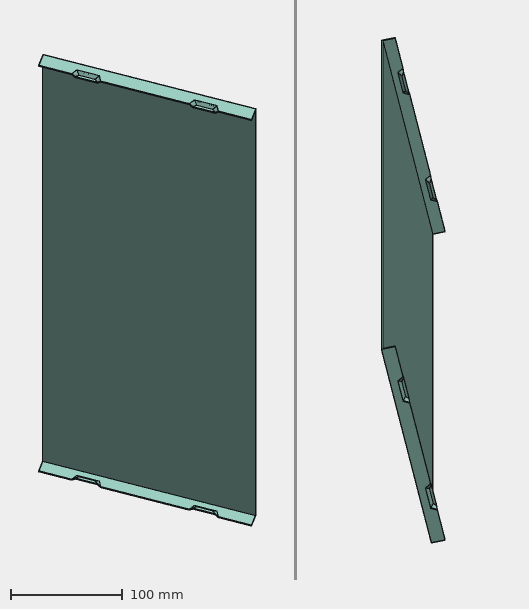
import cadquery as cq

width = 200.0
depth = 12.5
height = 604.5
sheet = 1.5

dimple_spacing = 110.5
dimple_mouth_width = 27.0
dimple_floor_width = 21.0
dimple_reach = 5.5
dimple_drop = 3.0
wall_run = (dimple_mouth_width - dimple_floor_width) / 2
corner_run = 3.0


def make_channel():
    """Return the back panel with both flanges, its back at Y = 0."""
    profile = [
        (0, -height / 2),
        (-depth, -height / 2),
        (-depth, sheet - height / 2),
        (-sheet, sheet - height / 2),
        (-sheet, height / 2 - sheet),
        (-depth, height / 2 - sheet),
        (-depth, height / 2),
        (0, height / 2),
    ]
    return cq.Workplane("YZ").polyline(profile).close().extrude(width / 2, both=True)


def trapezoid(half_width, reach):
    """Return the corners of a dimple outline standing on the flange's free edge."""
    return [
        (-half_width, -depth),
        (half_width, -depth),
        (half_width - corner_run, reach - depth),
        (corner_run - half_width, reach - depth),
    ]


def dimple_solid(x, top):
    """Return a tapered block, open to the free edge, sinking from the given height."""
    mouth = trapezoid(dimple_mouth_width / 2, dimple_reach)
    floor = trapezoid(dimple_floor_width / 2, dimple_reach - wall_run)
    return (
        cq.Workplane("XY", origin=(x, 0, top))
        .polyline(mouth)
        .close()
        .workplane(offset=-dimple_drop)
        .polyline(floor)
        .close()
        .loft(ruled=True)
    )


def press_dimple(body, x):
    """Form one dimple, one sheet thick, in the top and the bottom flange."""
    hollow = dimple_solid(x, height / 2)
    shell = dimple_solid(x, height / 2 - sheet)
    for upper in (True, False):
        outside = shell if upper else shell.mirror("XY")
        inside = hollow if upper else hollow.mirror("XY")
        body = body.union(outside).cut(inside)
    return body


result = make_channel()
for side in (-1, 1):
    result = press_dimple(result, side * dimple_spacing / 2)